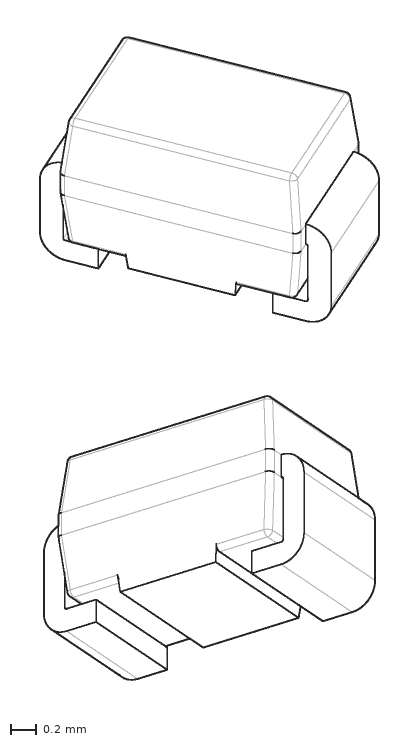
import cadquery as cq
import math

OVERALL_LENGTH = 2.49
OVERALL_HEIGHT = 1.5

LEAD_THICKNESS = 0.2
LEAD_WIDTH = 1.0
BEND_INNER_RADIUS = 0.02
BEND_OUTER_RADIUS = BEND_INNER_RADIUS + LEAD_THICKNESS
FOOT_LENGTH = 0.5

HOUSING_LENGTH = OVERALL_LENGTH - 2 * BEND_OUTER_RADIUS
HOUSING_WIDTH = 1.3
HOUSING_HEIGHT = 1.245
BELT_HEIGHT = LEAD_THICKNESS
DRAFT_ANGLE = 6.0
EDGE_RADIUS = 0.05
HALF_HEIGHT = (HOUSING_HEIGHT - BELT_HEIGHT) / 2
BELT_TOP = OVERALL_HEIGHT - HALF_HEIGHT
BELT_BOTTOM = BELT_TOP - BELT_HEIGHT

PEDESTAL_LENGTH = 1.045
PEDESTAL_BOTTOM = 0.15


def drafted_block(length, width, start, height):
    """Block whose sides lean inward; a negative height extends it downward."""
    block = cq.Workplane("XY").rect(length, width).extrude(abs(height), taper=DRAFT_ANGLE)
    if height < 0:
        block = block.mirror("XY")
    return block.translate((0, 0, start))


def make_housing_half(start, height):
    """Drafted half with every edge rounded except those against the belt."""
    half = drafted_block(HOUSING_LENGTH, HOUSING_WIDTH, start, height)
    belt_side = "<Z" if height > 0 else ">Z"
    return half.edges(f"not({belt_side})").fillet(EDGE_RADIUS)


def make_housing():
    upper_half = make_housing_half(BELT_TOP, HALF_HEIGHT)
    lower_half = make_housing_half(BELT_BOTTOM, -HALF_HEIGHT)
    belt = (
        cq.Workplane("XY", origin=(0, 0, BELT_BOTTOM))
        .rect(HOUSING_LENGTH, HOUSING_WIDTH)
        .extrude(BELT_HEIGHT)
        .edges("|Z")
        .fillet(EDGE_RADIUS)
    )
    pedestal = drafted_block(PEDESTAL_LENGTH, HOUSING_WIDTH, BELT_BOTTOM, PEDESTAL_BOTTOM - BELT_BOTTOM)
    return belt.union(upper_half).union(lower_half).union(pedestal)


def make_lead(side):
    """C-shaped lead that butts against the belt; side is -1 for the -X end, +1 for the +X end."""
    outer_x = side * OVERALL_LENGTH / 2
    inner_x = side * (OVERALL_LENGTH / 2 - LEAD_THICKNESS)
    bend_x = side * HOUSING_LENGTH / 2
    tip_x = side * (OVERALL_LENGTH / 2 - FOOT_LENGTH)
    upper_bend_z = BELT_TOP - BEND_OUTER_RADIUS
    lower_bend_z = BEND_OUTER_RADIUS

    def bend_middle(radius, center_z, direction):
        """Point halfway round a bend; direction is +1 for the upper bend, -1 for the lower."""
        reach = radius * math.cos(math.pi / 4)
        return (bend_x + side * reach, center_z + direction * reach)

    return (
        cq.Workplane("XZ")
        .moveTo(bend_x, BELT_TOP)
        .threePointArc(bend_middle(BEND_OUTER_RADIUS, upper_bend_z, 1), (outer_x, upper_bend_z))
        .lineTo(outer_x, lower_bend_z)
        .threePointArc(bend_middle(BEND_OUTER_RADIUS, lower_bend_z, -1), (bend_x, 0))
        .lineTo(tip_x, 0)
        .lineTo(tip_x, LEAD_THICKNESS)
        .lineTo(bend_x, LEAD_THICKNESS)
        .threePointArc(bend_middle(BEND_INNER_RADIUS, lower_bend_z, -1), (inner_x, lower_bend_z))
        .lineTo(inner_x, upper_bend_z)
        .threePointArc(bend_middle(BEND_INNER_RADIUS, upper_bend_z, 1), (bend_x, BELT_BOTTOM))
        .close()
        .extrude(LEAD_WIDTH / 2, both=True)
    )


housing = make_housing()
leads = [make_lead(side) for side in (-1, 1)]

result = cq.Compound.makeCompound([housing.val(), *[lead.val() for lead in leads]])